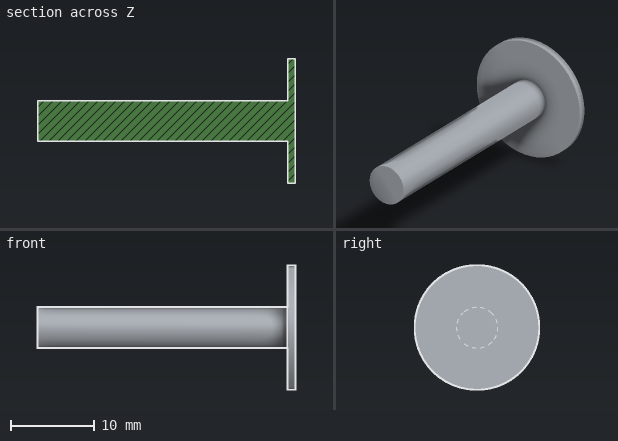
import cadquery as cq

total_length = 31.0
head_diameter = 15.0
head_thickness = 1.0
shank_diameter = 4.93
shank_length = total_length - head_thickness

shank = cq.Workplane("YZ").circle(shank_diameter / 2).extrude(shank_length)
head = (
    cq.Workplane("YZ")
    .workplane(offset=shank_length)
    .circle(head_diameter / 2)
    .extrude(head_thickness)
)

result = shank.union(head)